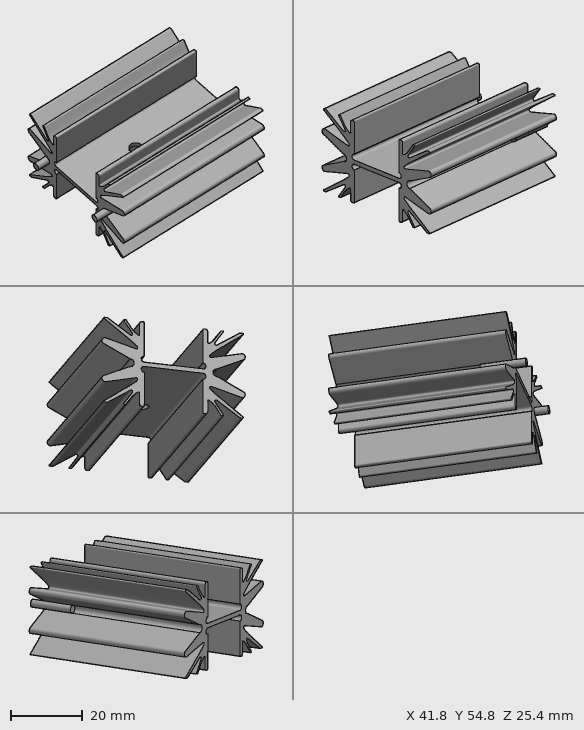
import cadquery as cq
import math

body_length = 50.8
half_width = 20.9
half_height = 12.7

web_half_thickness = 0.65
wall_inner = 8.55
wall_outer = 9.95
wall_inner_round = 0.4
wall_outer_round = 0.75
relief_radius = 0.9

pin_radius = 1.15
pin_spacing = 25.4
pin_length = 13.1
pin_protrusion = 3.95

hole_diameter = 3.8
hole_from_front = 21.5

core_corners = [
    (0, 0, 0),
    (0, web_half_thickness, 0),
    (wall_inner, web_half_thickness, 0),
    (wall_inner, half_height, wall_inner_round),
    (wall_outer, half_height, wall_outer_round),
    (wall_outer, 8.2, 0.3),
]
short_fin_corners = [
    (11.85, 9.65, 6.55),
    (13.85, half_height, 0.15),
    (14.75, half_height, 0.15),
    (10.75, 7.0, 0.45),
]
long_fin_corners = [
    (19.35, half_height, 0.15),
    (20.8, half_height, 0.2),
    (12.2, 6.45, 21.9),
    (9.3, 3.9, 0.45),
]
thick_fin_corners = [
    (half_width, 6.85, 0.95),
    (half_width, 5.05, 0.9),
    (pin_spacing / 2, pin_radius, 0),
    (pin_spacing / 2, 0, 0),
]


def step_towards(start, end, distance):
    """Return the point at a distance from start along the line to end."""
    fraction = distance / math.dist(start, end)
    return (start[0] + fraction * (end[0] - start[0]), start[1] + fraction * (end[1] - start[1]))


def rounded_outline(corners):
    """Draw a closed outline in the XZ plane; the first corner must be sharp."""
    outline = cq.Workplane("XZ").moveTo(*corners[0][:2])
    for index in range(1, len(corners)):
        before = corners[index - 1][:2]
        corner = corners[index][:2]
        after = corners[(index + 1) % len(corners)][:2]
        radius = corners[index][2]
        if radius == 0:
            outline = outline.lineTo(*corner)
            continue
        angle_before = math.atan2(before[1] - corner[1], before[0] - corner[0])
        angle_after = math.atan2(after[1] - corner[1], after[0] - corner[0])
        half_angle = abs(math.remainder(angle_after - angle_before, math.tau)) / 2
        tangent_length = radius / math.tan(half_angle)
        arc_start = step_towards(corner, before, tangent_length)
        arc_end = step_towards(corner, after, tangent_length)
        chord_middle = ((arc_start[0] + arc_end[0]) / 2, (arc_start[1] + arc_end[1]) / 2)
        arc_middle = step_towards(corner, chord_middle, radius / math.sin(half_angle) - radius)
        outline = outline.lineTo(*arc_start).threePointArc(arc_middle, arc_end)
    return outline.close()


def pin_cylinders(front, length):
    """Return the pair of pin-sized cylinders running back from y = front."""
    return (
        cq.Workplane("XZ", origin=(0, front, 0))
        .pushPoints([(-pin_spacing / 2, 0), (pin_spacing / 2, 0)])
        .circle(pin_radius)
        .extrude(-length)
    )


def make_body():
    """Extrude the section from y = 0 to the back, with the web reliefs and pin seats cut out."""
    quarter = rounded_outline(
        core_corners + short_fin_corners + long_fin_corners + thick_fin_corners
    ).extrude(-body_length)
    half = quarter.union(quarter.mirror("XY"))
    body = half.union(half.mirror("YZ"))
    relief_height = web_half_thickness + relief_radius
    reliefs = (
        cq.Workplane("XZ")
        .rect(2 * wall_inner, 2 * relief_height, forConstruction=True)
        .vertices()
        .circle(relief_radius)
        .extrude(-body_length)
    )
    seats = pin_cylinders(0, body_length)
    return body.cut(reliefs).cut(seats)


def make_mounting_hole():
    """Return the cutter for the hole through the web."""
    return (
        cq.Workplane("XY")
        .center(0, hole_from_front)
        .circle(hole_diameter / 2)
        .extrude(web_half_thickness, both=True)
    )


pins = pin_cylinders(-pin_protrusion, pin_length)
result = make_body().cut(make_mounting_hole()).union(pins)